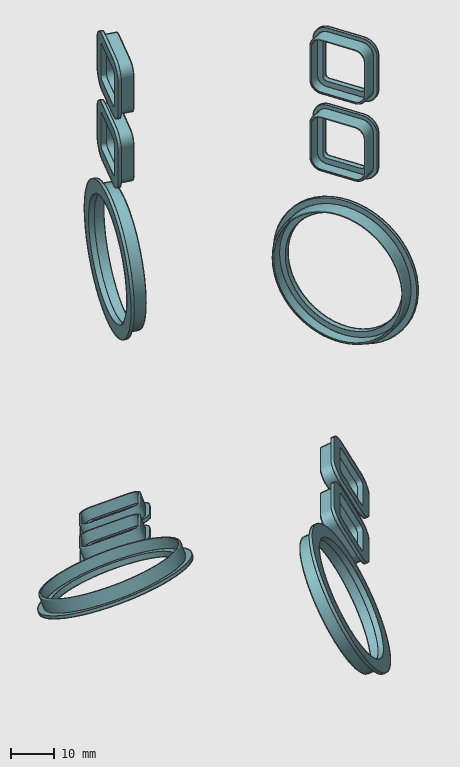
import cadquery as cq

TOTAL_DEPTH = 4.2
FLANGE_DEPTH = 0.8
LIP_DEPTH = 1.4
RIM_EDGE_RADIUS = 0.2

RING_FLANGE_DIAMETER = 38.0
RING_RIM_DIAMETER = 35.0
RING_POCKET_DIAMETER = 34.0
RING_HOLE_DIAMETER = 31.0

CORE_SIDE = 9.0
FLANGE_CORNER_RADIUS = 4.0
RIM_CORNER_RADIUS = 3.0
POCKET_CORNER_RADIUS = 2.5
HOLE_CORNER_RADIUS = 1.0

TOTAL_HEIGHT = 83.5
SQUARE_COUNT = 2
SQUARE_PITCH = 21.0
STACK_TOP = TOTAL_HEIGHT - RING_FLANGE_DIAMETER / 2
TOP_SQUARE_Z = STACK_TOP - FLANGE_CORNER_RADIUS - CORE_SIDE / 2


def disc(diameter, start, end):
    """Round plate between two Y positions."""
    return cq.Workplane("XZ", origin=(0, start, 0)).circle(diameter / 2).extrude(start - end)


def rounded_square(corner_radius, start, end):
    """Square plate between two Y positions, its side set by its corner radius."""
    side = CORE_SIDE + 2 * corner_radius
    plate = cq.Workplane("XZ", origin=(0, start, 0)).rect(side, side).extrude(start - end)
    return plate.edges("|Y").fillet(corner_radius)


def flanged_frame(plate, flange_size, rim_size, pocket_size, hole_size):
    """Frame with a front flange, a rim behind it, and a hole that widens into a pocket."""
    flange = plate(flange_size, 0, FLANGE_DEPTH)
    rim = plate(rim_size, 0, TOTAL_DEPTH).faces(">Y").edges().fillet(RIM_EDGE_RADIUS)
    hole = plate(hole_size, 0, TOTAL_DEPTH)
    pocket = plate(pocket_size, LIP_DEPTH, TOTAL_DEPTH)
    return flange.union(rim).cut(hole).cut(pocket)


def round_frame():
    return flanged_frame(
        disc,
        RING_FLANGE_DIAMETER,
        RING_RIM_DIAMETER,
        RING_POCKET_DIAMETER,
        RING_HOLE_DIAMETER,
    )


def square_frame(center_z):
    frame = flanged_frame(
        rounded_square,
        FLANGE_CORNER_RADIUS,
        RIM_CORNER_RADIUS,
        POCKET_CORNER_RADIUS,
        HOLE_CORNER_RADIUS,
    )
    return frame.translate((0, 0, center_z))


ring = round_frame()
squares = [square_frame(TOP_SQUARE_Z - index * SQUARE_PITCH) for index in range(SQUARE_COUNT)]

result = cq.Compound.makeCompound([ring.solids().val(), *[square.solids().val() for square in squares]])